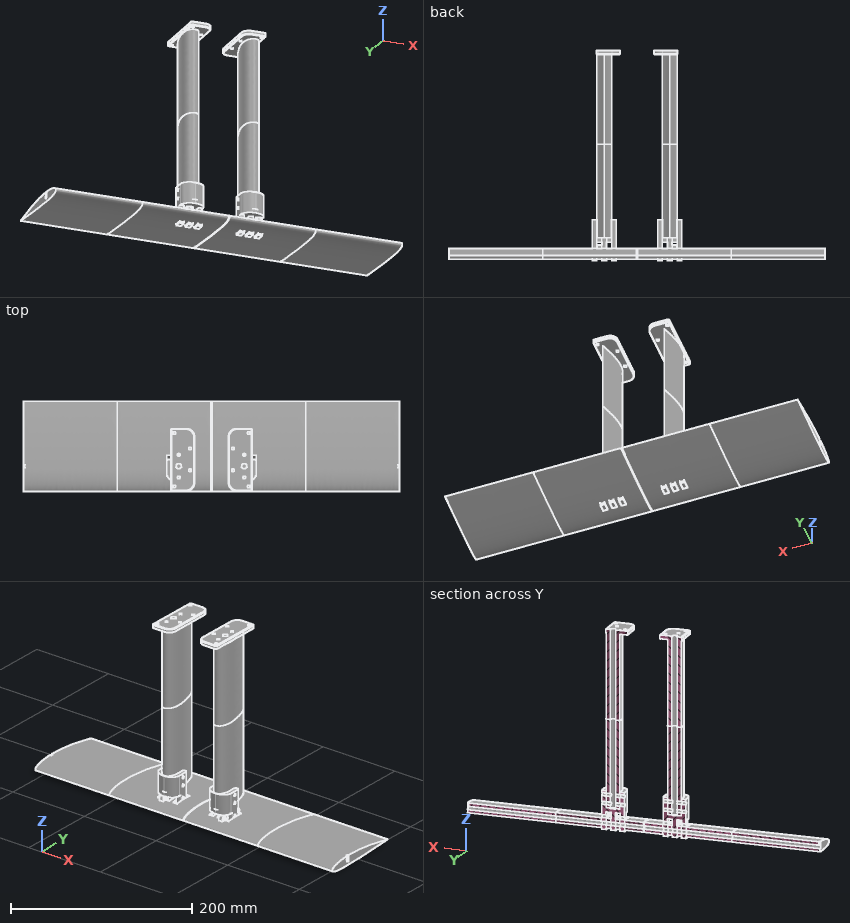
import cadquery as cq
import math


span = 415.0
wing_chord = 100.0
wing_thickness_ratio = 0.12
camber_ratio = 0.02
camber_position = 0.4
centre_gap = 1.0
panel_joint_x = span / 4

rod_y = 28.2
rod_z = 1.5
rod_hole_diameter = 3.5
tip_slot_width = 2.5
tip_slot_depth = 1.5

mast_x = 36.0
mast_chord = 50.0
mast_thickness_ratio = 0.34
mast_leading_y = 11.0
mast_bottom_z = 19.5
mast_joint_z = 122.5
plate_bottom_z = 221.5
plate_thickness = 5.0
plate_top_z = plate_bottom_z + plate_thickness

plate_outer_x = 45.0
plate_width = 26.0
plate_front_y = 1.0
plate_length = 69.0
plate_corner_radius = 9.0
plate_outer_corner_radius = 2.0
plate_chamfer = 1.0
mount_hole_diameter = 3.0
mount_hole_side_inset = 3.7
mount_hole_end_inset = 5.0
inner_mount_hole_inset = 5.0
inner_mount_hole_ys = (23.5, 47.7)
mast_rod_diameter = 3.0
mast_rod_offset = 12.5
cable_hole_diameter = 6.0

bracket_width = 27.0
bracket_top_z = 39.5
shell_bottom_z = 14.5
nose_length = 10.5
leg_width = 5.5
leg_length = 15.0
leg_bottom_z = -6.0
leg_foot_length = 8.7
nose_base_y = 20.8
pin_hole_diameter = 3.0
pin_hole_zs = (35.0, 25.0)
leg_hole_z = 9.5

leg_spacing = (bracket_width - leg_width) / 2
slot_length_top = 24.0
slot_top_z = 8.5
slot_steepness = 2 * (slot_top_z - leg_bottom_z) / (slot_length_top - leg_foot_length)

lug_diameter = 6.0
lug_thickness = leg_spacing - leg_width
lug_offset_x = leg_spacing / 2
lug_centre_z = 8.7
lug_hole_diameter = 2.0

foil_intervals = 24


def half_thickness(s, ratio):
    """Half thickness of a four-digit foil at the chord fraction s, per unit of chord."""
    return 5 * ratio * (
        0.2969 * math.sqrt(s) - 0.126 * s - 0.3516 * s**2 + 0.2843 * s**3 - 0.1015 * s**4
    )


def camber_height(s):
    """Height of the wing's mean line at the chord fraction s, per unit of chord."""
    p = camber_position
    if s < p:
        return camber_ratio / p**2 * (2 * p * s - s**2)
    return camber_ratio / (1 - p) ** 2 * (1 - 2 * p + 2 * p * s - s**2)


def foil_side(chord, ratio, mean_line, side):
    """Points along one side of a foil, from its nose to its tail, closer together at the nose."""
    fractions = [1 - math.cos(math.pi / 2 * i / foil_intervals) for i in range(foil_intervals + 1)]
    return [(chord * s, chord * (mean_line(s) + side * half_thickness(s, ratio))) for s in fractions]


def foil(plane, chord, ratio, mean_line):
    """Closed foil outline with a thin flat tail."""
    upper = foil_side(chord, ratio, mean_line, 1)
    lower = foil_side(chord, ratio, mean_line, -1)
    outline = upper[::-1] + lower[1:]
    return cq.Workplane(plane).spline(outline).close()


def x_cylinder(x_start, x_end, y, z, diameter):
    """Cylinder along X."""
    plane = cq.Workplane("YZ", origin=(x_start, y, z))
    return plane.circle(diameter / 2).extrude(x_end - x_start)


def z_cylinder(x, y, z_start, z_end, diameter):
    """Cylinder along Z."""
    plane = cq.Workplane("XY", origin=(x, y, z_start))
    return plane.circle(diameter / 2).extrude(z_end - z_start)


def leg_centres(side):
    """X positions of the three legs under the mast on the given side."""
    return [side * mast_x + i * leg_spacing for i in (-1, 0, 1)]


def wing_panel(x_start, x_end):
    """Plain wing panel with the spanwise rod hole."""
    plane = cq.Plane(origin=(x_start, 0, 0), xDir=(0, 1, 0), normal=(1, 0, 0))
    panel = foil(plane, wing_chord, wing_thickness_ratio, camber_height).extrude(x_end - x_start)
    return panel.cut(x_cylinder(x_start, x_end, rod_y, rod_z, rod_hole_diameter))


def leg_slot(x):
    """Cutter for the tapered slot that one leg passes through."""
    return (
        cq.Workplane("YZ", origin=(x - leg_width / 2, 0, 0))
        .moveTo(rod_y - slot_length_top / 2, slot_top_z)
        .lineTo(rod_y + slot_length_top / 2, slot_top_z)
        .lineTo(rod_y + leg_foot_length / 2, leg_bottom_z)
        .lineTo(rod_y - leg_foot_length / 2, leg_bottom_z)
        .close()
        .extrude(leg_width)
    )


def lug(x, y):
    """Round-topped lug along X with a cross hole, standing on the wing."""
    start = x - lug_thickness / 2
    end = x + lug_thickness / 2
    foot = cq.Workplane("XY", origin=(x, y, 0)).box(
        lug_thickness, lug_diameter, lug_centre_z, centered=(True, True, False)
    )
    body = x_cylinder(start, end, y, lug_centre_z, lug_diameter).union(foot)
    return body.cut(x_cylinder(start, end, y, lug_centre_z, lug_hole_diameter))


def inner_panel(side):
    """Wing panel under a mast, with its leg slots and lugs."""
    x_start, x_end = sorted((side * centre_gap / 2, side * panel_joint_x))
    panel = wing_panel(x_start, x_end)
    for y in (rod_y - mast_rod_offset, rod_y + mast_rod_offset):
        panel = panel.union(lug(side * (mast_x + lug_offset_x), y))
    for x in leg_centres(side):
        panel = panel.cut(leg_slot(x))
    return panel


def outer_panel(side):
    """Wing panel at a tip, with the slot above the rod hole."""
    x_start, x_end = sorted((side * panel_joint_x, side * span / 2))
    slot = cq.Workplane("XY", origin=(side * span / 2, rod_y, rod_z)).box(
        2 * tip_slot_depth, tip_slot_width, wing_chord, centered=(True, True, False)
    )
    return wing_panel(x_start, x_end).cut(slot)


def mast_section(side, z_start, z_end):
    """Plain length of mast."""
    plane = cq.Plane(origin=(side * mast_x, mast_leading_y, z_start), xDir=(0, 1, 0), normal=(0, 0, 1))
    return foil(plane, mast_chord, mast_thickness_ratio, lambda s: 0).extrude(z_end - z_start)


def mast_channels(side):
    """Cutter for the cable hole and the two rod holes along the mast."""
    x = side * mast_x
    channels = z_cylinder(x, rod_y, mast_bottom_z, plate_top_z, cable_hole_diameter)
    for y in (rod_y - mast_rod_offset, rod_y + mast_rod_offset):
        channels = channels.union(z_cylinder(x, y, mast_bottom_z, plate_top_z, mast_rod_diameter))
    return channels


def pin_holes(side):
    """Cutter for the cross pins through the bracket and the mast."""
    x_start = side * mast_x - bracket_width / 2
    x_end = x_start + bracket_width
    upper, lower = (x_cylinder(x_start, x_end, rod_y, z, pin_hole_diameter) for z in pin_hole_zs)
    return upper.union(lower)


def lower_mast(side):
    """Lower mast length, held in the bracket by two cross pins."""
    section = mast_section(side, mast_bottom_z, mast_joint_z)
    return section.cut(mast_channels(side)).cut(pin_holes(side))


def mounting_plate(side):
    """Plate with large corners towards the middle, chamfered edges and four screw holes."""
    outer_x = side * plate_outer_x
    inner_x = side * (plate_outer_x - plate_width)
    back_y = plate_front_y + plate_length
    plate = (
        cq.Workplane("XY")
        .box(plate_width, plate_length, plate_thickness, centered=(True, False, False))
        .translate(((outer_x + inner_x) / 2, plate_front_y, plate_bottom_z))
    )
    inner_edges, outer_edges = ("<X", ">X") if side > 0 else (">X", "<X")
    plate = plate.edges("|Z").edges(inner_edges).fillet(plate_corner_radius)
    plate = plate.edges("|Z").edges(outer_edges).fillet(plate_outer_corner_radius)
    plate = plate.faces("<Z or >Z").edges().chamfer(plate_chamfer)
    hole_places = [
        (outer_x - side * mount_hole_side_inset, plate_front_y + mount_hole_end_inset),
        (outer_x - side * mount_hole_side_inset, back_y - mount_hole_end_inset),
    ]
    hole_places += [(inner_x + side * inner_mount_hole_inset, y) for y in inner_mount_hole_ys]
    for x, y in hole_places:
        plate = plate.cut(z_cylinder(x, y, plate_bottom_z, plate_top_z, mount_hole_diameter))
    return plate


def upper_mast(side):
    """Upper mast length in one piece with its mounting plate."""
    section = mast_section(side, mast_joint_z, plate_bottom_z)
    return section.union(mounting_plate(side)).cut(mast_channels(side))


def bracket_leg(x, z_top):
    """Round-ended leg that narrows at its foot, where it rests on the sloping ends of its slot."""
    leg = (
        cq.Workplane("XY", origin=(x, rod_y, leg_bottom_z))
        .slot2D(leg_length, leg_width, 90)
        .extrude(z_top - leg_bottom_z)
    )
    taper_z = leg_bottom_z + slot_steepness * (leg_length - leg_foot_length) / 2
    profile = (
        cq.Workplane("YZ", origin=(x - leg_width / 2, rod_y, 0))
        .moveTo(-leg_foot_length / 2, leg_bottom_z)
        .lineTo(leg_foot_length / 2, leg_bottom_z)
        .lineTo(leg_length / 2, taper_z)
        .lineTo(leg_length / 2, z_top)
        .lineTo(-leg_length / 2, z_top)
        .lineTo(-leg_length / 2, taper_z)
        .close()
        .extrude(leg_width)
    )
    return leg.intersect(profile)


def bracket(side):
    """Mast socket: elliptical nose, two side walls, a floor and three legs."""
    x = side * mast_x
    shell_height = bracket_top_z - shell_bottom_z
    wall_end_y = rod_y + (leg_length - leg_width) / 2
    body = (
        cq.Workplane("XY", origin=(x, nose_base_y, shell_bottom_z))
        .moveTo(-bracket_width / 2, 0)
        .ellipseArc(bracket_width / 2, nose_length, 180, 270)
        .ellipseArc(bracket_width / 2, nose_length, 270, 360)
        .lineTo(bracket_width / 2, wall_end_y - nose_base_y)
        .lineTo(-bracket_width / 2, wall_end_y - nose_base_y)
        .close()
        .extrude(shell_height)
    )
    left_x, middle_x, right_x = leg_centres(side)
    body = body.union(bracket_leg(left_x, bracket_top_z)).union(bracket_leg(right_x, bracket_top_z))
    body = body.cut(mast_section(side, mast_bottom_z, bracket_top_z))
    body = body.union(bracket_leg(middle_x, mast_bottom_z)).cut(pin_holes(side))
    for leg_x in (left_x, middle_x, right_x):
        start = leg_x - leg_width / 2
        end = leg_x + leg_width / 2
        body = body.cut(x_cylinder(start, end, rod_y, rod_z, rod_hole_diameter))
        if leg_x != middle_x:
            body = body.cut(x_cylinder(start, end, rod_y, leg_hole_z, pin_hole_diameter))
    return body


bodies = []
for side in (-1, 1):
    for make_body in (inner_panel, outer_panel, lower_mast, upper_mast, bracket):
        bodies.append(make_body(side).solids().val())

result = cq.Compound.makeCompound(bodies)